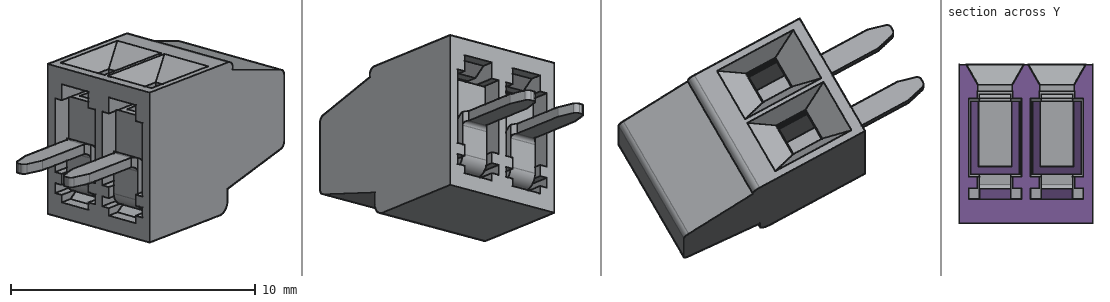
import cadquery as cq
import math


OVERALL_LENGTH = 12.0
WIDTH = 5.48
DEPTH = 8.5
HEIGHT = 6.5
PITCH = 2.53
POLE_X = [-PITCH / 2, PITCH / 2]

UPPER_STEP_Y = 5.25
UPPER_STEP_Z = 6.11
LOWER_STEP_Y = 4.92
LOWER_STEP_Z = 1.02
UPPER_SLOPE = math.radians(15)
LOWER_SLOPE = math.radians(14)
UPPER_STEP_RADIUS = 0.31
LOWER_STEP_RADIUS = 0.5
BACK_RADIUS = 0.3

FUNNEL_MIDDLE_Y = 2.25
FUNNEL_WIDTH = 2.35
FUNNEL_LENGTH = 3.58
FUNNEL_DEPTH = 0.83
THROAT_WIDTH = 1.4
THROAT_LENGTH = 1.37

STRIP = 0.42
OUTER_BEND = 0.6
INNER_BEND = OUTER_BEND - STRIP
CONTACT_WIDTH = 1.28
PLATE_Y = 0.23
CONTACT_BOTTOM = 1.0
CONTACT_TOP = 5.28
LEG_Y = 2.87
LEG_BACK_Y = LEG_Y + STRIP
LEG_BEVEL_LENGTH = 0.24
LEG_BEVEL_HEIGHT = 0.17
PIN_TOP = 3.45
PIN_LENGTH = OVERALL_LENGTH - DEPTH
PIN_WIDTH = 0.91
PIN_TAPER = 0.9
PIN_TIP_WIDTH = 0.43
PIN_TIP_RADIUS = 0.2

BOX_WIDTH = 2.0
BOX_FRONT_Y = 0.78
BOX_BOTTOM = 2.0
BOX_TOP = 5.0
BOX_WALL = 0.32
BOX_BACK_Y = LEG_BACK_Y + BOX_WALL
WIRE_HOLE_BACK_Y = 2.83

POCKET_WIDTH = 2.15
POCKET_GAP = 0.1
CHANNEL_WIDTH = 1.44
CHANNEL_TOP = 5.41
LEAD_IN_LENGTH = 0.55
LEAD_IN_ANGLE = math.radians(36)
LEAD_IN_TOP = 5.8
LEAD_IN_BOTTOM = 0.67
WING_HEIGHT = 0.43


def block(width, y_start, y_end, z_start, z_end):
    """Box centred on X = 0 between the given Y and Z limits."""
    size = (width, y_end - y_start, z_end - z_start)
    return cq.Workplane("XY").box(*size, centered=(True, False, False)).translate((0, y_start, z_start))


def prism(width, points):
    """Prism centred on X = 0 with the given (Y, Z) outline."""
    return cq.Workplane("YZ").polyline(points).close().extrude(width / 2, both=True)


def round_edge(body, y, z, radius):
    """Round the edge along X that passes through (y, z)."""
    return body.edges("|X").edges(cq.NearestToPointSelector((0, y, z))).fillet(radius)


def housing_shell():
    back_top = UPPER_STEP_Z - (DEPTH - UPPER_STEP_Y) * math.tan(UPPER_SLOPE)
    back_bottom = LOWER_STEP_Z + (DEPTH - LOWER_STEP_Y) * math.tan(LOWER_SLOPE)
    shell = prism(WIDTH, [
        (0, 0),
        (LOWER_STEP_Y, 0),
        (LOWER_STEP_Y, LOWER_STEP_Z),
        (DEPTH, back_bottom),
        (DEPTH, back_top),
        (UPPER_STEP_Y, UPPER_STEP_Z),
        (UPPER_STEP_Y, HEIGHT),
        (0, HEIGHT),
    ])
    shell = round_edge(shell, UPPER_STEP_Y, HEIGHT, UPPER_STEP_RADIUS)
    shell = round_edge(shell, LOWER_STEP_Y, 0, LOWER_STEP_RADIUS)
    shell = round_edge(shell, DEPTH, back_top, BACK_RADIUS)
    return round_edge(shell, DEPTH, back_bottom, BACK_RADIUS)


def wire_entry():
    """Funnel in the top face and the straight throat that leads down to the clamp box."""
    funnel = (
        cq.Workplane("XY", origin=(0, FUNNEL_MIDDLE_Y, HEIGHT))
        .rect(FUNNEL_WIDTH, FUNNEL_LENGTH)
        .workplane(offset=-FUNNEL_DEPTH)
        .rect(THROAT_WIDTH, THROAT_LENGTH)
        .loft()
    )
    throat_front = FUNNEL_MIDDLE_Y - THROAT_LENGTH / 2
    throat_top = HEIGHT - FUNNEL_DEPTH
    throat = block(THROAT_WIDTH, throat_front, throat_front + THROAT_LENGTH, BOX_TOP, throat_top)
    return funnel.union(throat)


def contact_cavity():
    """Channel with sloping lead-ins, pocket for the clamp box and side wings at the bottom."""
    top_ramp_end = LEAD_IN_LENGTH + (LEAD_IN_TOP - CHANNEL_TOP) / math.tan(LEAD_IN_ANGLE)
    bottom_ramp_end = LEAD_IN_LENGTH + (CONTACT_BOTTOM - LEAD_IN_BOTTOM) / math.tan(LEAD_IN_ANGLE)
    channel = prism(CHANNEL_WIDTH, [
        (0, LEAD_IN_BOTTOM),
        (LEAD_IN_LENGTH, LEAD_IN_BOTTOM),
        (bottom_ramp_end, CONTACT_BOTTOM),
        (LEG_BACK_Y, CONTACT_BOTTOM),
        (LEG_BACK_Y, CHANNEL_TOP),
        (top_ramp_end, CHANNEL_TOP),
        (LEAD_IN_LENGTH, LEAD_IN_TOP),
        (0, LEAD_IN_TOP),
    ])
    pocket = block(POCKET_WIDTH, 0, BOX_BACK_Y, BOX_BOTTOM - POCKET_GAP, BOX_TOP + POCKET_GAP)
    wings = block(POCKET_WIDTH, 0, LEG_BACK_Y, CONTACT_BOTTOM, CONTACT_BOTTOM + WING_HEIGHT)
    return channel.union(pocket).union(wings)


def make_housing():
    housing = housing_shell()
    for x in POLE_X:
        housing = housing.cut(contact_cavity().translate((x, 0, 0)))
        housing = housing.cut(wire_entry().translate((x, 0, 0)))
    return housing


def bent_strip():
    """Side shape of the contact: pin, front plate, bottom plate and back leg."""
    plate_back = PLATE_Y + STRIP
    pin_bottom = PIN_TOP - STRIP
    bottom_plate_top = CONTACT_BOTTOM + STRIP
    strip = prism(CONTACT_WIDTH, [
        (-PIN_LENGTH, PIN_TOP),
        (-PIN_LENGTH, pin_bottom),
        (PLATE_Y, pin_bottom),
        (PLATE_Y, CONTACT_BOTTOM),
        (LEG_BACK_Y, CONTACT_BOTTOM),
        (LEG_BACK_Y, CONTACT_TOP),
        (LEG_Y + LEG_BEVEL_LENGTH, CONTACT_TOP),
        (LEG_Y, CONTACT_TOP - LEG_BEVEL_HEIGHT),
        (LEG_Y, bottom_plate_top),
        (plate_back, bottom_plate_top),
        (plate_back, PIN_TOP),
    ])
    for y, z in [(plate_back, PIN_TOP), (PLATE_Y, CONTACT_BOTTOM), (LEG_BACK_Y, CONTACT_BOTTOM)]:
        strip = round_edge(strip, y, z, OUTER_BEND)
    for y, z in [(PLATE_Y, pin_bottom), (plate_back, bottom_plate_top), (LEG_Y, bottom_plate_top)]:
        strip = round_edge(strip, y, z, INNER_BEND)
    return strip


def contact_plan():
    """Plan shape of the contact: full width, sloping shoulders and a tapered pin."""
    half_width = CONTACT_WIDTH / 2
    half_pin = PIN_WIDTH / 2
    half_tip = PIN_TIP_WIDTH / 2
    shoulder_y = PLATE_Y - (half_width - half_pin)
    right_side = [
        (half_width, LEG_BACK_Y),
        (half_width, PLATE_Y),
        (half_pin, shoulder_y),
        (half_pin, PIN_TAPER - PIN_LENGTH),
        (half_tip, -PIN_LENGTH),
    ]
    left_side = [(-x, y) for x, y in reversed(right_side)]
    plan = cq.Workplane("XY").polyline(right_side + left_side).close().extrude(HEIGHT)
    return plan.edges("|Z and <Y").fillet(PIN_TIP_RADIUS)


def clamp_box():
    """Box with a wire hole that is open at the top."""
    box = block(BOX_WIDTH, BOX_FRONT_Y, BOX_BACK_Y, BOX_BOTTOM, BOX_TOP)
    hole_front = BOX_FRONT_Y + BOX_WALL
    hole_bottom = BOX_BOTTOM + BOX_WALL
    wire_hole = block(BOX_WIDTH - 2 * BOX_WALL, hole_front, WIRE_HOLE_BACK_Y, hole_bottom, BOX_TOP)
    return box.cut(wire_hole)


def make_terminal(x):
    contact = bent_strip().intersect(contact_plan())
    return contact.union(clamp_box()).translate((x, 0, 0))


housing = make_housing()
terminals = [make_terminal(x) for x in POLE_X]

result = cq.Compound.makeCompound([housing.val(), *[terminal.val() for terminal in terminals]])